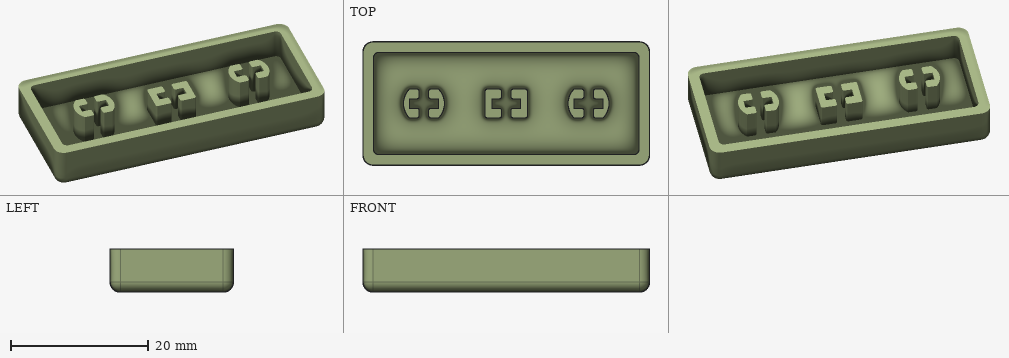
import cadquery as cq

length = 41.85
width = 18.05
height = 6.3
outer_radius = 1.5
wall = 1.55
cavity_depth = 4.6
cavity_corner_radius = 0.8

stem_pitch = 12.0
stem_depth = 4.2
stem_edge_radius = 0.3
round_stem_diameter = 6.0
round_stem_height = cavity_depth
square_stem_width = 6.2
square_stem_height = 3.65

socket_length = 4.2
socket_slot_width = 1.4

floor_z = height - cavity_depth


def make_shell():
    """Open-topped tray with rounded corners and a rounded bottom edge."""
    body = (
        cq.Workplane("XY")
        .box(length, width, height, centered=(True, True, False))
        .edges("|Z").fillet(outer_radius)
        .faces("<Z").edges().fillet(outer_radius)
    )
    cavity = (
        cq.Workplane("XY", origin=(0, 0, floor_z))
        .rect(length - 2 * wall, width - 2 * wall)
        .extrude(cavity_depth)
        .edges("|Z").fillet(cavity_corner_radius)
    )
    return body.cut(cavity)


def cut_socket(stem, stem_height):
    """Split a stem with a cross and round the upright edges along the splitting slot."""
    bar = cq.Workplane("XY").rect(socket_length, socket_slot_width).extrude(stem_height)
    gap = cq.Workplane("XY").rect(socket_slot_width, stem_depth).extrude(stem_height)
    half_gap = socket_slot_width / 2
    gap_edges = cq.selectors.BoxSelector(
        (-half_gap - stem_edge_radius, -stem_depth, -stem_height),
        (half_gap + stem_edge_radius, stem_depth, 2 * stem_height),
    )
    return stem.cut(bar).cut(gap).edges("|Z").edges(gap_edges).fillet(stem_edge_radius)


def make_round_stem():
    """Cylinder trimmed flat on its front and back."""
    trim = cq.Workplane("XY").rect(round_stem_diameter, stem_depth).extrude(round_stem_height)
    stem = cq.Workplane("XY").circle(round_stem_diameter / 2).extrude(round_stem_height).intersect(trim)
    return cut_socket(stem, round_stem_height)


def make_square_stem():
    """Rectangular block with rounded upright corners."""
    stem = (
        cq.Workplane("XY")
        .rect(square_stem_width, stem_depth)
        .extrude(square_stem_height)
        .edges("|Z").fillet(stem_edge_radius)
    )
    return cut_socket(stem, square_stem_height)


result = make_shell().union(make_square_stem().translate((0, 0, floor_z)))
for side in (-1, 1):
    result = result.union(make_round_stem().translate((side * stem_pitch, 0, floor_z)))